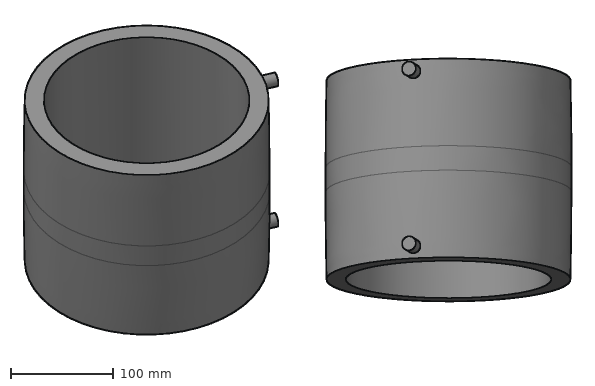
import math

import cadquery as cq

length = 198.0
middle_radius = 120.6
end_radius = 119.6
middle_wall = 20.0
bore_radius = middle_radius - middle_wall
band_width = 24.4

stud_diameter = 14.0
stud_projection = 15.0
stud_end_inset = 12.0
stud_root_y = (bore_radius + end_radius) / 2
stud_tip_y = middle_radius + stud_projection


def make_sleeve():
    """Revolve the wall section, drawn on the -X side, about the Z axis."""
    half_length = length / 2
    half_band = band_width / 2

    crown_length = half_length - half_band
    crown_drop = middle_radius - end_radius
    arc_radius = (crown_length**2 + crown_drop**2) / (2 * crown_drop)
    half_way_drop = arc_radius - math.sqrt(arc_radius**2 - (crown_length / 2) ** 2)
    half_way_radius = middle_radius - half_way_drop
    half_way_height = half_band + crown_length / 2

    return (
        cq.Workplane("XZ")
        .moveTo(-bore_radius, -half_length)
        .lineTo(-end_radius, -half_length)
        .threePointArc((-half_way_radius, -half_way_height), (-middle_radius, -half_band))
        .lineTo(-middle_radius, half_band)
        .threePointArc((-half_way_radius, half_way_height), (-end_radius, half_length))
        .lineTo(-bore_radius, half_length)
        .close()
        .revolve(360, (0, 0, 0), (0, 1, 0))
    )


def make_stud(height):
    """Round stud along +Y with its axis at the given height."""
    root = cq.Vector(0, stud_root_y, height)
    along_y = cq.Plane(origin=root, xDir=cq.Vector(0, 0, 1), normal=cq.Vector(0, 1, 0))
    return cq.Workplane(along_y).circle(stud_diameter / 2).extrude(stud_tip_y - stud_root_y)


result = make_sleeve()
stud_height = length / 2 - stud_end_inset
for height in (-stud_height, stud_height):
    result = result.union(make_stud(height))